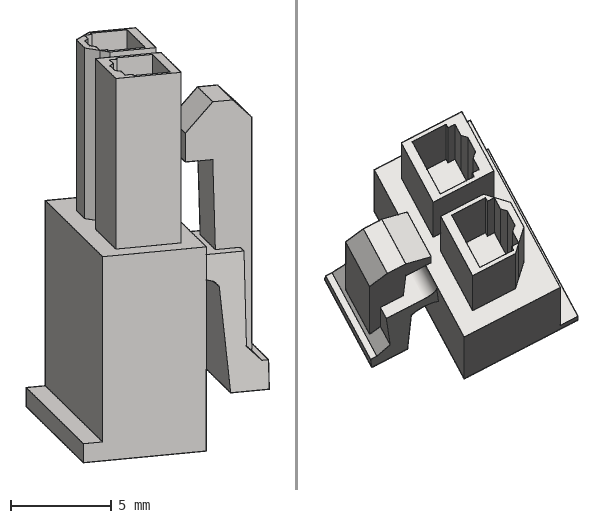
import cadquery as cq

width = 9.6
height = 19.6
depth = 10.4

body_height = 10.68
lip_size = 1.0
body_back = 6.4

tower_pitch = 4.21
tower_size = 3.41
tower_front = 2.0
tower_chamfer = 1.0

cavity_width = 3.0
cavity_back = 4.9
cavity_step = 3.0
notch_width = 2.59
notch_front = 2.6
groove_width = 1.31
groove_front = 2.35
cavity_depth = height - body_height

lever_bottom = 2.15
pad_top = 3.67
pad_ledge = 0.35
lever_outer = 9.27
lever_inner_bottom = 8.39
hinge_top = 9.31
hinge_fillet = 0.7
hinge_arch_top = 8.02
hinge_arch_end = 7.6
lever_arch_start = 7.94
lever_top_width = 3.85
lever_bottom_width = 5.05

arm_width = 2.57
arm_outer = 9.88
arm_bottom = 3.92
arm_inner_bottom = 7.98
arm_inner_top = 7.84
arm_top = 17.05
tip_chamfer = 1.0
hook_bottom = 14.03
hook_lead_bottom = 15.55


def side_plate(profile, plate_width):
    """Extrude a closed (Y, Z) sketch evenly to both sides of X = 0."""
    return profile.close().extrude(plate_width / 2, both=True)


def make_body():
    block_depth = body_back - lip_size
    block = cq.Workplane("XY").box(width, block_depth, body_height, centered=(True, False, False))
    block = block.translate((0, lip_size, 0))
    lip = cq.Workplane("XY").box(width, body_back, lip_size, centered=(True, False, False))
    return block.union(lip)


def make_tower(center_x, chamfered):
    tower = (
        cq.Workplane("XY")
        .box(tower_size, tower_size, height, centered=(True, False, False))
        .translate((center_x, tower_front, 0))
    )
    if chamfered:
        tower = tower.faces("<Y").edges("|Z").chamfer(tower_chamfer)
    return tower


def make_cavity(center_x):
    def pocket(pocket_width, front, back):
        pocket_box = cq.Workplane("XY").box(
            pocket_width, back - front, cavity_depth, centered=(True, False, False)
        )
        return pocket_box.translate((center_x, front, height - cavity_depth))

    main_pocket = pocket(cavity_width, cavity_step, cavity_back)
    notch = pocket(notch_width, notch_front, cavity_step)
    return main_pocket.union(notch)


def make_groove(center_x):
    half_top = groove_width / 2
    half_bottom = half_top - (notch_front - groove_front)
    return (
        cq.Workplane("XY", origin=(center_x, 0, 0))
        .moveTo(-half_top, notch_front)
        .lineTo(half_top, notch_front)
        .lineTo(half_bottom, groove_front)
        .lineTo(-half_bottom, groove_front)
        .close()
        .extrude(height)
    )


def make_lever():
    arch_middle = (body_back + lever_arch_start) / 2
    ramp_bottom = depth - pad_ledge
    profile = (
        cq.Workplane("YZ")
        .moveTo(lever_inner_bottom, lever_bottom)
        .lineTo(depth, lever_bottom)
        .lineTo(depth, pad_top)
        .lineTo(ramp_bottom, pad_top)
        .lineTo(lever_outer, pad_top + ramp_bottom - lever_outer)
        .lineTo(lever_outer, hinge_top)
        .lineTo(body_back + hinge_fillet, hinge_top)
        .radiusArc((body_back, hinge_top + hinge_fillet), hinge_fillet)
        .lineTo(body_back, hinge_arch_end)
        .threePointArc((arch_middle, hinge_arch_top), (lever_arch_start, hinge_arch_end))
    )
    lever = side_plate(profile, lever_bottom_width)
    taper = (lever_bottom_width - lever_top_width) / 2 / (hinge_top - lever_bottom)
    outline_bottom = lever_bottom_width / 2
    outline_top = outline_bottom - taper * (body_height - lever_bottom)
    flare = (
        cq.Workplane("XZ")
        .moveTo(-outline_bottom, lever_bottom)
        .lineTo(outline_bottom, lever_bottom)
        .lineTo(outline_top, body_height)
        .lineTo(-outline_top, body_height)
        .close()
        .extrude(-depth)
    )
    return lever.intersect(flare)


def make_arm():
    profile = (
        cq.Workplane("YZ")
        .moveTo(arm_inner_bottom, hinge_top)
        .lineTo(lever_outer, arm_bottom)
        .lineTo(arm_outer, arm_bottom)
        .lineTo(arm_outer, arm_top - tip_chamfer)
        .lineTo(arm_outer - tip_chamfer, arm_top)
        .lineTo(arm_inner_top, arm_top)
        .lineTo(body_back, hook_lead_bottom)
        .lineTo(body_back, hook_bottom)
        .lineTo(arm_inner_top, hook_bottom)
    )
    return side_plate(profile, arm_width)


left_x = -tower_pitch / 2
right_x = tower_pitch / 2

result = make_body().union(make_tower(left_x, True)).union(make_tower(right_x, False))
for tower_x in (left_x, right_x):
    result = result.cut(make_cavity(tower_x)).cut(make_groove(tower_x))
result = result.union(make_lever()).union(make_arm())